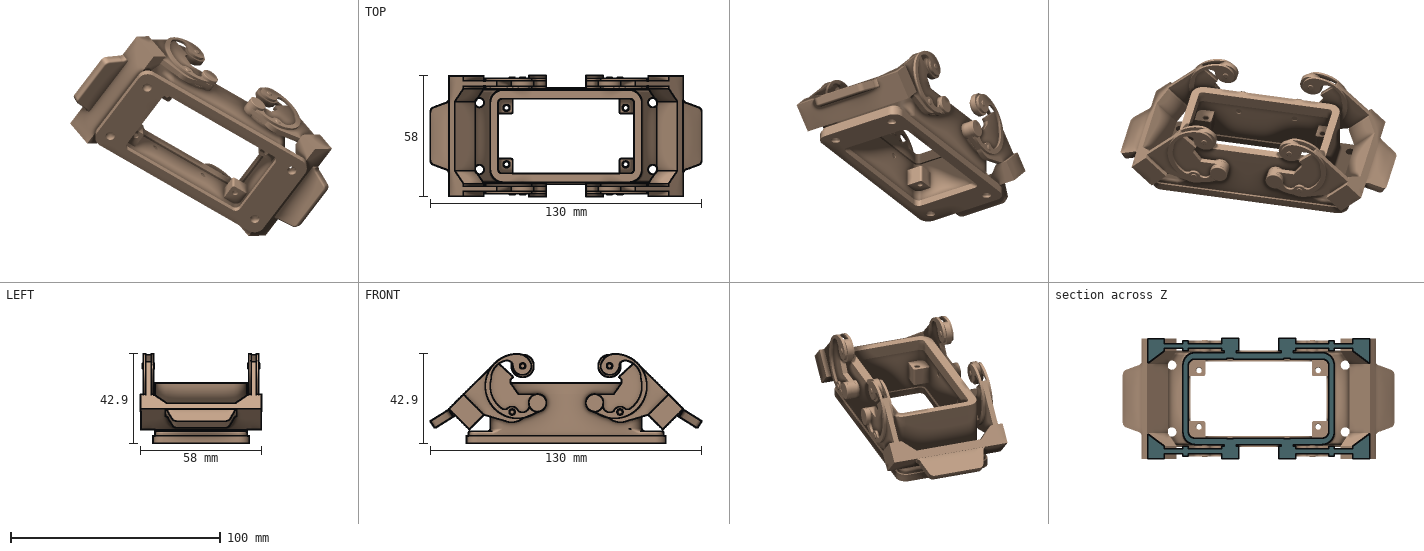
import cadquery as cq
import math

BASE_LENGTH, BASE_WIDTH, BASE_HEIGHT, BASE_CORNER = 95.4, 46.2, 3.6, 5.0
FLANGE_LENGTH, FLANGE_TOP, FLANGE_CORNER, FLANGE_ROUND = 93.6, 5.9, 4.0, 1.2
HOUSING_LENGTH, HOUSING_WIDTH, HOUSING_CORNER = 72.6, 44.2, 6.0
RIM_START, HOUSING_TOP, RIM_TAPER = 23.6, 29.0, 1.0
OPENING_LENGTH, OPENING_WIDTH = 65.0, 35.6
RIM_CORNER, LIP_CORNER, LIP_HEIGHT = 1.9, 2.6, 3.1
POCKET_DEPTH, POCKET_CORNER = 1.0, 3.0
POCKET_LENGTH = OPENING_LENGTH + 2 * POCKET_DEPTH
POCKET_WIDTH = OPENING_WIDTH + 2 * POCKET_DEPTH
FOOT_ROUND = 1.2

MOUNT_X, MOUNT_Y, MOUNT_DIAMETER = 41.5, 16.0, 4.4

BOSS_INNER_X, BOSS_INNER_Y, BOSS_CORNER, BOSS_EMBED = 25.5, 10.7, 1.0, 0.2
BOSS_BOTTOM, BOSS_TOP = 8.9, 17.3
BOSS_HOLE_X, BOSS_HOLE_Y, BOSS_HOLE_DIAMETER, BOSS_CHAMFER = 28.5, 13.5, 2.6, 0.3

LEVER_Y, LEVER_THICKNESS = 25.2, 2.5
SPRING_THICKNESS = 1.25

PEG_X, PEG_Z, PEG_RADIUS = -13.65, 19.4, 4.2
PEG_TIP_Y, PEG_ROUND, PEG_NECK_RADIUS = 29.0, 0.3, 3.0
PEG_BORE_DIAMETER, PEG_BORE_DEPTH = 2.8, 0.3

ROLLER_X, ROLLER_Z, ROLLER_RADIUS = -20.8, 37.1, 5.45
STOP_X, STOP_Z = -25.8, 15.05
RIVET_RADIUS, RIVET_PROJECTION, RIVET_CHAMFER = 1.45, 0.35, 0.3

RING_X, RING_Z, RING_OUTER, RING_INNER = -23.2, 27.47, 15.47, 13.1
SPRING_END_RADIUS, SPRING_STOP_RADIUS = 4.3, 2.6
RING_EYE_ANGLE, RING_SIDE_ANGLE, RING_TOP_ANGLE = -52, 190, 90
RING_WAVE_ANGLE, RING_BACK_ANGLE, RING_THROAT_ANGLE = 233, 200, 165
PEG_EYE_END_ANGLE = -70

LEVER_TOP = (-33.2, 39.2)
LEVER_NOSE = (-25.2, 31.8)
LEVER_NOSE_BACK = (-26.5, 30.6)
LEVER_SLOPE_Z, LEVER_LEDGE_X = 28.8, -22.8
BELLY_START, BELLY_BOTTOM, BELLY_END = (-20.6, 12.1), (-25.2, 10.2), (-29.6, 10.9)

WAVE_VALLEY, WAVE_STOP_SIDE = (-18.6, 15.8), (-22.9, 15.6)
WAVE_STOP_FAR_SIDE, WAVE_FAR_VALLEY = (-28.2, 16.6), (-29.6, 16.3)
THROAT_SIDE, THROAT_TOP, THROAT_END = (-32.3, 38.1), (-28.5, 39.65), (-26.9, 39.3)
HOOK_NECK, HOOK_SHOULDER = (-25.4, 37.6), (-18.6, 41.0)

BAR_CORNER_X, BAR_CORNER_Z, BAR_ANGLE = -56.1, 16.5, 45.0
BAR_ALONG, BAR_ACROSS, BAR_WIDTH = 9.9, 13.9, 57.6
WINDOW_FLOOR, WINDOW_BOTTOM_Y, WINDOW_TOP_Y = 4.0, 16.5, 22.7

TAB_ANGLE, TAB_THICKNESS, TAB_LENGTH, TAB_ROOT_DEPTH = 212.0, 4.1, 10.4, 2.0
TAB_ROOT_Y, TAB_TIP_Y, TAB_CORNER, TAB_ROUND = 17.1, 13.2, 2.5, 0.8
TAB_FLARE_LENGTH, TAB_FLARE_Y, TAB_DROP = 2.2, 15.8, 0.3
TAB_FLARE_MIDDLE = (-0.88, 16.25)
OVERALL_LENGTH = 129.99

TOLERANCE = 0.01


def rounded_block(length, width, bottom, top, corner, taper=0.0):
    plan = cq.Workplane("XY").workplane(offset=bottom).sketch().rect(length, width)
    return plan.vertices().fillet(corner).finalize().extrude(top - bottom, taper=taper)


def in_all_quadrants(x, y):
    return [(x, y), (-x, y), (x, -y), (-x, -y)]


def plate(outline, start_y, thickness):
    """Extrude an XZ outline from y = -start_y toward -Y."""
    return outline(cq.Workplane("XZ").workplane(offset=start_y)).extrude(thickness)


def disc(x, z, radius, start_y, end_y):
    return cq.Workplane("XZ").workplane(offset=start_y).center(x, z).circle(radius).extrude(end_y - start_y)


def on_circle(x, z, radius, degrees):
    angle = math.radians(degrees)
    return (x + radius * math.cos(angle), z + radius * math.sin(angle))


def make_foot():
    """Concave round where the housing meets the flange, cut flush with the long housing sides."""
    foot_length = HOUSING_LENGTH + 2 * FOOT_ROUND
    foot_width = HOUSING_WIDTH + 2 * FOOT_ROUND
    foot_top = FLANGE_TOP + FOOT_ROUND
    foot_corner = HOUSING_CORNER + FOOT_ROUND
    foot = rounded_block(foot_length, foot_width, FLANGE_TOP, foot_top, foot_corner)
    hoop_path = foot.faces(">Z").wires()
    hoop_start = cq.Workplane("YZ").center(-foot_width / 2, foot_top).circle(FOOT_ROUND)
    foot = foot.cut(hoop_start.sweep(hoop_path))
    limit = cq.Workplane("XY").box(foot_length, HOUSING_WIDTH, 2 * foot_top)
    return foot.intersect(limit)


def on_flange_top_edge(edge):
    """True for the outer top edge of the flange, with its rise along the cut-off foot."""
    box = edge.BoundingBox()
    if box.zmin < FLANGE_TOP - TOLERANCE or box.zmax > FLANGE_TOP + FOOT_ROUND + TOLERANCE:
        return False
    beyond_foot = abs(edge.Center().x) > HOUSING_LENGTH / 2 + FOOT_ROUND + TOLERANCE
    rising_on_long_side = box.ylen < TOLERANCE and box.zlen > TOLERANCE
    return beyond_foot or rising_on_long_side


def make_housing():
    flange = rounded_block(FLANGE_LENGTH, HOUSING_WIDTH, BASE_HEIGHT, FLANGE_TOP, FLANGE_CORNER)
    walls = rounded_block(HOUSING_LENGTH, HOUSING_WIDTH, BASE_HEIGHT, RIM_START, HOUSING_CORNER)
    body = flange.union(walls).union(make_foot()).clean()
    body = body.edges().filter(on_flange_top_edge).fillet(FLANGE_ROUND)
    base = rounded_block(BASE_LENGTH, BASE_WIDTH, 0, BASE_HEIGHT, BASE_CORNER)
    rim = rounded_block(HOUSING_LENGTH, HOUSING_WIDTH, RIM_START, HOUSING_TOP, HOUSING_CORNER, RIM_TAPER)
    body = body.union(base).union(rim)
    lip = rounded_block(OPENING_LENGTH, OPENING_WIDTH, 0, LIP_HEIGHT, LIP_CORNER)
    pocket = rounded_block(POCKET_LENGTH, POCKET_WIDTH, LIP_HEIGHT, RIM_START, POCKET_CORNER)
    opening_rim = rounded_block(
        OPENING_LENGTH, OPENING_WIDTH, RIM_START, HOUSING_TOP, RIM_CORNER, -RIM_TAPER
    )
    body = body.cut(lip).cut(pocket).cut(opening_rim)
    mounts = cq.Workplane("XY").pushPoints(in_all_quadrants(MOUNT_X, MOUNT_Y))
    return body.cut(mounts.circle(MOUNT_DIAMETER / 2).extrude(FLANGE_TOP))


def make_boss():
    """Screw boss in the +X +Y corner of the opening."""
    reach_x = POCKET_LENGTH / 2 + BOSS_EMBED
    reach_y = POCKET_WIDTH / 2 + BOSS_EMBED
    block = cq.Workplane("XY").box(
        reach_x - BOSS_INNER_X, reach_y - BOSS_INNER_Y, BOSS_TOP - BOSS_BOTTOM, centered=False
    )
    block = block.translate((BOSS_INNER_X, BOSS_INNER_Y, BOSS_BOTTOM))
    block = block.edges("|Z and <X and <Y").fillet(BOSS_CORNER)
    hole = cq.Workplane("XY").workplane(offset=BOSS_BOTTOM).center(BOSS_HOLE_X, BOSS_HOLE_Y)
    block = block.cut(hole.circle(BOSS_HOLE_DIAMETER / 2).extrude(BOSS_TOP - BOSS_BOTTOM))
    mouth = cq.Workplane("XY").workplane(offset=BOSS_TOP - BOSS_CHAMFER).center(BOSS_HOLE_X, BOSS_HOLE_Y)
    mouth = mouth.circle(BOSS_HOLE_DIAMETER / 2).workplane(offset=BOSS_CHAMFER)
    return block.cut(mouth.circle(BOSS_HOLE_DIAMETER / 2 + BOSS_CHAMFER).loft(ruled=True))


def bar_point(along, across):
    """XZ point of the tilted bar: along its top face upward, and across from that face downward."""
    cosine = math.cos(math.radians(BAR_ANGLE))
    sine = math.sin(math.radians(BAR_ANGLE))
    return (BAR_CORNER_X + along * cosine + across * sine, BAR_CORNER_Z + along * sine - across * cosine)


def ring_outer(degrees):
    return on_circle(RING_X, RING_Z, RING_OUTER, degrees)


def ring_inner(degrees):
    return on_circle(RING_X, RING_Z, RING_INNER, degrees)


def lever_outline(plane):
    """Side plate from the bar to the peg, with a stepped upper end below the roller."""
    peg_top = PEG_Z + PEG_RADIUS
    return (
        plane.moveTo(*bar_point(BAR_ALONG, 0))
        .lineTo(*LEVER_TOP)
        .lineTo(*LEVER_NOSE)
        .lineTo(*LEVER_NOSE_BACK)
        .lineTo(LEVER_NOSE_BACK[0], LEVER_SLOPE_Z)
        .lineTo(LEVER_LEDGE_X, peg_top)
        .lineTo(PEG_X, peg_top)
        .threePointArc((PEG_X + PEG_RADIUS, PEG_Z), on_circle(PEG_X, PEG_Z, PEG_RADIUS, PEG_EYE_END_ANGLE))
        .lineTo(*BELLY_START)
        .threePointArc(BELLY_BOTTOM, BELLY_END)
        .lineTo(*bar_point(BAR_ALONG, BAR_ACROSS))
        .close()
    )


def spring_outline(plane):
    """C-shaped spring: eye at the peg, ring about the lever, round end at the roller."""
    return (
        plane.moveTo(*ring_outer(RING_TOP_ANGLE))
        .threePointArc(ring_outer(RING_SIDE_ANGLE), ring_outer(RING_EYE_ANGLE))
        .threePointArc((PEG_X + PEG_RADIUS, PEG_Z), (PEG_X - PEG_RADIUS, PEG_Z))
        .threePointArc(WAVE_VALLEY, WAVE_STOP_SIDE)
        .threePointArc((STOP_X, STOP_Z + SPRING_STOP_RADIUS), WAVE_STOP_FAR_SIDE)
        .threePointArc(WAVE_FAR_VALLEY, ring_inner(RING_WAVE_ANGLE))
        .threePointArc(ring_inner(RING_BACK_ANGLE), ring_inner(RING_THROAT_ANGLE))
        .threePointArc(THROAT_SIDE, THROAT_TOP)
        .threePointArc(THROAT_END, HOOK_NECK)
        .threePointArc(
            on_circle(ROLLER_X, ROLLER_Z, SPRING_END_RADIUS, -90),
            on_circle(ROLLER_X, ROLLER_Z, SPRING_END_RADIUS, 0),
        )
        .threePointArc(HOOK_SHOULDER, ring_outer(RING_TOP_ANGLE))
        .close()
    )


def make_lever_side():
    """Side plate, springs, roller, rivets and peg at the -Y side of the -X lever."""
    inner_y = LEVER_Y - LEVER_THICKNESS / 2
    outer_y = LEVER_Y + LEVER_THICKNESS / 2
    spring_inner_y = inner_y - SPRING_THICKNESS
    spring_outer_y = outer_y + SPRING_THICKNESS
    side = plate(lever_outline, inner_y, LEVER_THICKNESS)
    side = side.union(plate(spring_outline, spring_inner_y, SPRING_THICKNESS))
    side = side.union(plate(spring_outline, outer_y, SPRING_THICKNESS))
    side = side.union(disc(ROLLER_X, ROLLER_Z, ROLLER_RADIUS, inner_y, outer_y))
    for x, z in ((ROLLER_X, ROLLER_Z), (STOP_X, STOP_Z)):
        rivet = disc(x, z, RIVET_RADIUS, spring_inner_y - RIVET_PROJECTION, spring_outer_y + RIVET_PROJECTION)
        side = side.union(rivet.edges().chamfer(RIVET_CHAMFER))
    wall_y = (HOUSING_WIDTH + POCKET_WIDTH) / 4
    neck = disc(PEG_X, PEG_Z, PEG_NECK_RADIUS, wall_y, spring_outer_y)
    head = disc(PEG_X, PEG_Z, PEG_RADIUS, spring_outer_y, PEG_TIP_Y).faces("<Y").edges().fillet(PEG_ROUND)
    return side.union(neck).union(head)


def make_bar():
    """Cross bar of the lever, built upright and then tilted about its outer corner."""
    bar = cq.Workplane("XY").box(BAR_ALONG, BAR_WIDTH, BAR_ACROSS, centered=(False, True, False))
    bar = bar.translate((0, 0, -BAR_ACROSS))
    window = (
        cq.Workplane("XY")
        .polyline(
            [
                (WINDOW_FLOOR, -WINDOW_BOTTOM_Y),
                (BAR_ALONG, -WINDOW_TOP_Y),
                (BAR_ALONG, WINDOW_TOP_Y),
                (WINDOW_FLOOR, WINDOW_BOTTOM_Y),
            ]
        )
        .close()
        .extrude(-BAR_ACROSS)
    )
    bar = bar.cut(window).rotate((0, 0, 0), (0, 1, 0), -BAR_ANGLE)
    return bar.translate((BAR_CORNER_X, 0, BAR_CORNER_Z))


def make_tab():
    """Finger tab sloping down and outward from the cross bar."""
    half = (
        cq.Workplane("XY")
        .moveTo(TAB_ROOT_DEPTH, 0)
        .lineTo(TAB_ROOT_DEPTH, TAB_ROOT_Y)
        .lineTo(0, TAB_ROOT_Y)
        .threePointArc(TAB_FLARE_MIDDLE, (-TAB_FLARE_LENGTH, TAB_FLARE_Y))
        .lineTo(-TAB_LENGTH, TAB_TIP_Y)
        .lineTo(-TAB_LENGTH, 0)
        .close()
        .extrude(-TAB_THICKNESS)
    )
    tab = half.union(half.mirror("XZ")).clean()
    tab = tab.edges("|Z and <X").fillet(TAB_CORNER)
    tab = tab.faces("<Z").edges("not >X").fillet(TAB_ROUND)
    tab = tab.rotate((0, 0, 0), (0, 1, 0), 180 - TAB_ANGLE)
    tab = tab.translate((BAR_CORNER_X, 0, BAR_CORNER_Z - TAB_DROP))
    return tab.translate((-OVERALL_LENGTH / 2 - tab.val().BoundingBox().xmin, 0, 0))


def make_lever():
    side = make_lever_side()
    return make_bar().union(make_tab()).union(side).union(side.mirror("XZ"))


def make_peg_bores():
    start = POCKET_WIDTH / 2
    bore = disc(PEG_X, PEG_Z, PEG_BORE_DIAMETER / 2, start - PEG_BORE_DEPTH, start + PEG_BORE_DEPTH)
    bores = bore.union(bore.mirror("YZ"))
    return bores.union(bores.mirror("XZ"))


lever = make_lever()
boss = make_boss()
boss_pair = boss.union(boss.mirror("XZ"))
bosses = boss_pair.union(boss_pair.mirror("YZ"))
result = make_housing().union(bosses).cut(make_peg_bores()).union(lever).union(lever.mirror("YZ"))